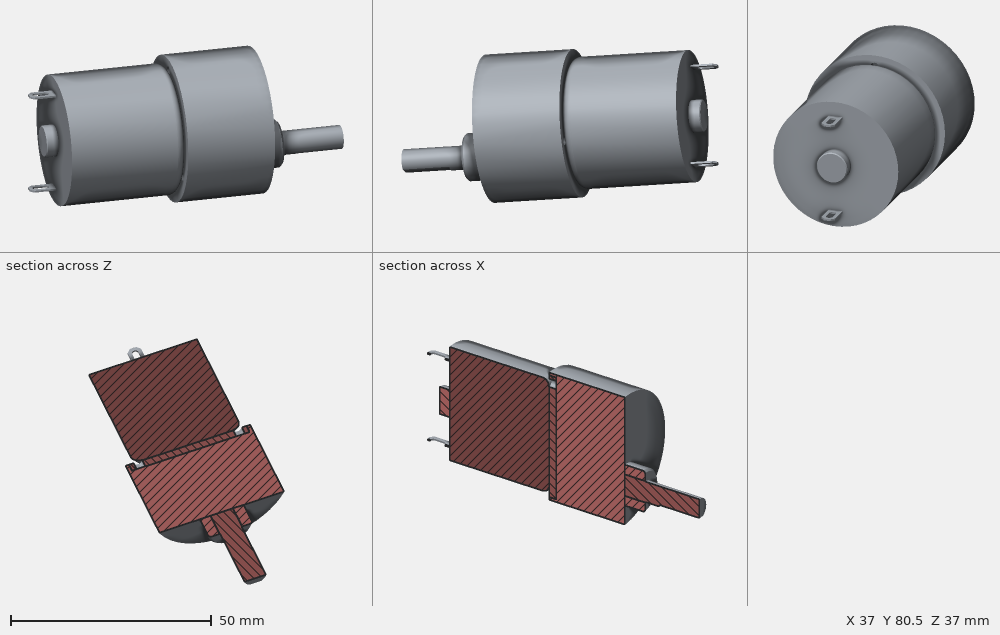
import cadquery as cq


gearbox_diameter = 37.0
gearbox_length = 22.45
wall_thickness = 1.0
cover_diameter = gearbox_diameter - 2 * wall_thickness
cover_thickness = 2.0
cover_hole_diameter = 2.25
cover_hole_circle_radius = 15.45
cover_hole_count = 3

can_diameter = 33.0
can_length = 29.5
can_fillet = 2.0

rear_boss_diameter = 8.05
rear_boss_length = 3.0
rear_boss_chamfer = 0.25

terminal_width = 3.6
terminal_length = 6.5
terminal_thickness = 0.5
terminal_corner = 1.0
terminal_offset = 12.5
slot_width = 1.7
slot_length = 4.3
slot_end_margin = 0.9

overall_length = 80.5
shaft_drop = 7.0
bushing_diameter = 12.0
bushing_length = 6.0
bushing_chamfer = 0.6
shaft_diameter = 6.0
flat_depth = 0.5
flat_length = 11.9

can_rear_y = -can_length
terminal_tip_y = can_rear_y - terminal_length
shaft_tip_y = terminal_tip_y + overall_length
shaft_length = shaft_tip_y - gearbox_length


def rod(diameter, rear_y, length, z=0.0):
    """Cylinder along +Y that starts at rear_y."""
    plane = cq.Plane(origin=(0, rear_y, z), xDir=(1, 0, 0), normal=(0, 1, 0))
    return cq.Workplane(plane).circle(diameter / 2).extrude(length)


def make_housing():
    housing = rod(gearbox_diameter, 0, gearbox_length)
    return housing.cut(rod(cover_diameter, 0, cover_thickness))


def make_cover():
    """Disk closing the housing, with holes evenly spaced from the top."""
    cover = rod(cover_diameter, 0, cover_thickness)
    holes = (
        cq.Workplane("XZ")
        .polarArray(cover_hole_circle_radius, 90, 360, cover_hole_count)
        .circle(cover_hole_diameter / 2)
        .extrude(-cover_thickness)
    )
    return cover.cut(holes)


def make_can():
    return rod(can_diameter, can_rear_y, can_length).faces(">Y").edges().fillet(can_fillet)


def make_rear_boss():
    boss = rod(rear_boss_diameter, can_rear_y - rear_boss_length, rear_boss_length)
    return boss.faces("<Y").edges().chamfer(rear_boss_chamfer)


def make_terminal(z):
    """Flat solder lug with clipped tip corners and a rounded slot."""
    slot_center_y = terminal_tip_y + slot_end_margin + slot_length / 2
    blade = (
        cq.Workplane("XY")
        .box(terminal_width, terminal_length, terminal_thickness)
        .faces("<Y").edges("|Z").chamfer(terminal_corner)
        .translate((0, can_rear_y - terminal_length / 2, z))
    )
    slot = (
        cq.Workplane("XY")
        .slot2D(slot_length, slot_width, 90)
        .extrude(terminal_thickness, both=True)
        .translate((0, slot_center_y, z))
    )
    return blade.cut(slot)


def make_bushing():
    bushing = rod(bushing_diameter, gearbox_length, bushing_length, -shaft_drop)
    bushing = bushing.faces(">Y").edges().chamfer(bushing_chamfer)
    return bushing.cut(rod(shaft_diameter, gearbox_length, bushing_length, -shaft_drop))


def make_shaft():
    """Output shaft with a flat along the lower side of its tip."""
    shaft = rod(shaft_diameter, gearbox_length, shaft_length, -shaft_drop)
    flat_z = -shaft_drop - shaft_diameter / 2 + flat_depth
    flat = (
        cq.Workplane("XY")
        .box(shaft_diameter, flat_length, shaft_diameter, centered=(True, False, False))
        .translate((0, shaft_tip_y - flat_length, flat_z - shaft_diameter))
    )
    return shaft.cut(flat)


housing = make_housing()
cover = make_cover()
can = make_can()
rear_boss = make_rear_boss()
terminals = [make_terminal(side * terminal_offset) for side in (1, -1)]
bushing = make_bushing()
shaft = make_shaft()

result = cq.Compound.makeCompound([
    housing.val(),
    cover.val(),
    can.val(),
    rear_boss.val(),
    *[terminal.val() for terminal in terminals],
    bushing.val(),
    shaft.val(),
])